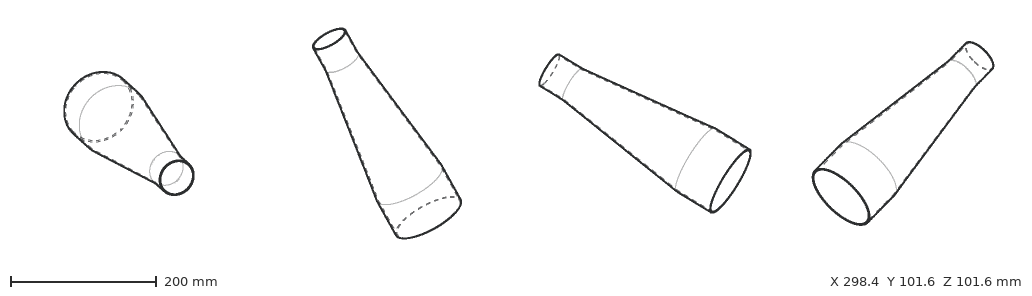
import cadquery as cq

large_outer_diameter = 101.6
large_inner_diameter = 97.38
small_outer_diameter = 50.8
small_inner_diameter = 47.5

overall_length = 298.45
large_tube_length = 57.15
small_tube_length = 38.1

cone_start = large_tube_length
cone_end = overall_length - small_tube_length


def stepped_cone(large_diameter, small_diameter):
    """Solid of revolution: large cylinder, cone, small cylinder."""
    large_radius = large_diameter / 2
    small_radius = small_diameter / 2
    half_profile = [
        (0, 0),
        (0, large_radius),
        (cone_start, large_radius),
        (cone_end, small_radius),
        (overall_length, small_radius),
        (overall_length, 0),
    ]
    return (
        cq.Workplane("XY")
        .polyline(half_profile)
        .close()
        .revolve(360, (0, 0, 0), (1, 0, 0))
    )


outer_body = stepped_cone(large_outer_diameter, small_outer_diameter)
bore = stepped_cone(large_inner_diameter, small_inner_diameter)

result = outer_body.cut(bore)